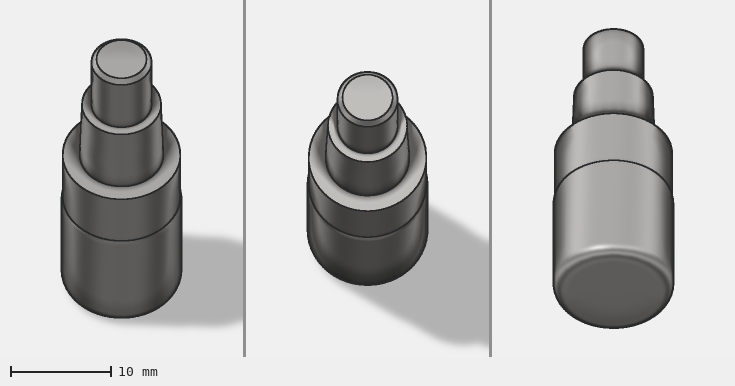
import cadquery as cq

total_height = 33.7
rim_bottom_z = 12.03
rim_top_z = 12.65
shoulder_z = 19.05
nose_top_z = 26.75

body_radius = 6.0
neck_radius = 5.85
nose_base_radius = 4.18
nose_top_radius = 3.95
edge_rounding = 1.48

pin_radius = 3.0
pin_chamfer_width = 0.5
pin_chamfer_height = 0.45
pin_seat_z = shoulder_z


def make_pin():
    """Round pin with a chamfered tip."""
    return (
        cq.Workplane("XZ")
        .moveTo(0, pin_seat_z)
        .lineTo(pin_radius, pin_seat_z)
        .lineTo(pin_radius, total_height - pin_chamfer_height)
        .lineTo(pin_radius - pin_chamfer_width, total_height)
        .lineTo(0, total_height)
        .close()
        .revolve(360, (0, 0, 0), (0, 1, 0))
    )


def make_housing():
    """Stepped round housing: rounded base, rounded rim, neck, and tapered nose bored for the pin."""
    profile = (
        cq.Workplane("XZ")
        .lineTo(body_radius - edge_rounding, 0)
        .radiusArc((body_radius, edge_rounding), -edge_rounding)
        .lineTo(body_radius, rim_bottom_z)
        .radiusArc((neck_radius, rim_top_z), -edge_rounding)
        .lineTo(neck_radius, shoulder_z)
        .lineTo(nose_base_radius, shoulder_z)
        .lineTo(nose_top_radius, nose_top_z)
        .lineTo(pin_radius, nose_top_z)
        .lineTo(pin_radius, pin_seat_z)
        .lineTo(0, pin_seat_z)
        .close()
    )
    return profile.revolve(360, (0, 0, 0), (0, 1, 0))


housing = make_housing()
pin = make_pin()

result = cq.Compound.makeCompound([housing.val(), pin.val()])